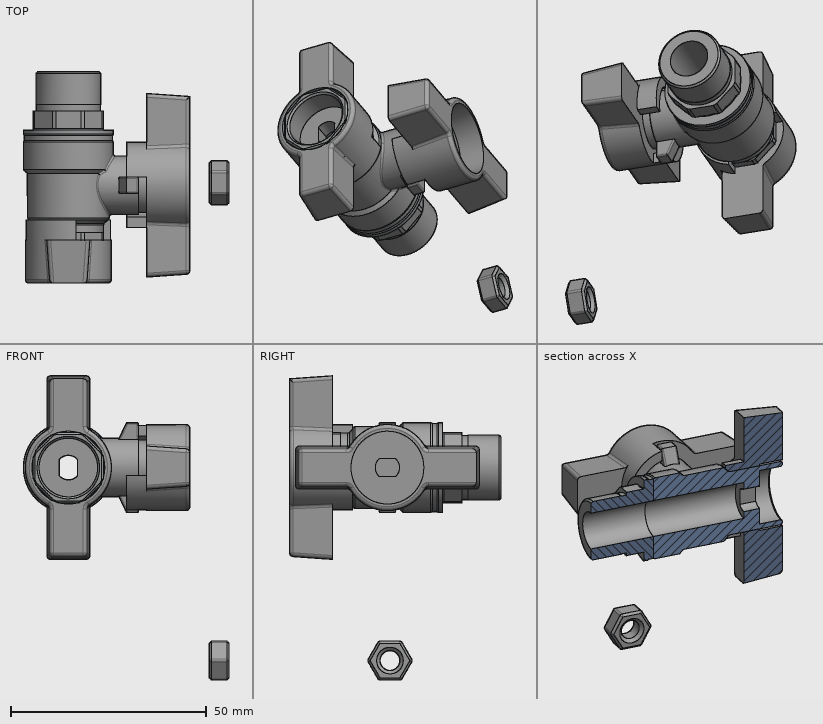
import cadquery as cq
import math


PASSAGE_DIAMETER = 10.0
COLLAR_DIAMETER = 23.0
GROOVE_DIAMETER = 22.6
BODY_DIAMETER = 21.0
NECK_DIAMETER = 18.0
BODY_END_Y = 11.45
COLLAR_Y = 4.0
COLLAR_BEVEL = 1.0
GROOVE_BEVEL = 0.45
SHOULDER_Y = -8.8
SHOULDER_DEPTH = 0.5
NECK_Y = -10.15
NECK_FLARE = 0.15
NECK_FLARE_LENGTH = 0.45
SHOULDER_STEP = 0.3
INLET_OCTAGON_Y = -12.0
INLET_END_Y = -25.0
INLET_CHAMFER = 0.5
INLET_BORE_DIAMETER = 14.95
INLET_BORE_DEPTH = 6.5
MOUTH_CHAMFER = 0.5

OCTAGON_SIDES = 8
OCTAGON_FLATS = 18.0
OCTAGON_CORNER_DIAMETER = 19.1

BOSS_DIAMETER = 15.0
BOSS_END_X = 17.9
LUG_TOP_Z = 11.5
LUG_FOOT_X = 12.8
LUG_FOOT_Z = 7.2
LUG_CREST_X = 14.85
LUG_FILLET = 0.4
BOSS_ROOT_FILLET = 0.5

TAIL_FLANGE_Y = 13.1
TAIL_FLANGE_END_Y = 14.1
TAIL_OCTAGON_Y = 14.45
TAIL_OCTAGON_END_Y = 19.0
TAIL_RELIEF_DIAMETER = 16.5
TAIL_THREAD_DIAMETER = 16.66
TAIL_THREAD_Y = 20.6
TAIL_END_Y = 29.0
TAIL_CHAMFER = 0.5

HANDLE_HEIGHT = 11.0
HUB_DIAMETER = 22.0
WING_SPAN = 46.9
WING_WIDTH = 11.0
WING_DRAFT = 4.0
HANDLE_FILLET = 1.0
RECESS_DIAMETER = 18.6
RECESS_DEPTH = INLET_BORE_DEPTH
SKIRT_HEIGHT = 5.15
SKIRT_INNER_DIAMETER = 16.6
STOP_OFFSET = 2.1
SKIRT_EDGE_OFFSET = 2.0
HANDLE_FLOOR = HANDLE_HEIGHT - RECESS_DEPTH
INLET_HANDLE_Y = INLET_END_Y + HANDLE_HEIGHT
STEM_HANDLE_X = 20.0

SHANK_DIAMETER = 6.2
SHANK_FLATS = 4.6
STEM_COLLAR_DIAMETER = 14.0

NUT_X = 35.95
NUT_Y = 0.65
NUT_Z = -49.25
NUT_THICKNESS = 5.1
NUT_SIDES = 6
NUT_FLATS = 10.0
NUT_HOLE_DIAMETER = 5.0
NUT_CHAMFER = 0.6
NUT_HOLE_CHAMFER = 0.9
NUT_CORNER_FILLET = 0.7


def plane_at_y(y):
    """Plane across the flow axis, its normal along +Y."""
    return cq.Plane(origin=(0, y, 0), xDir=(1, 0, 0), normal=(0, 1, 0))


def plane_at_x(x, y=0.0, z=0.0):
    """Plane across the stem axis, its normal along +X and its own x axis along Y."""
    return cq.Plane(origin=(x, y, z), xDir=(0, 1, 0), normal=(1, 0, 0))


def turned(profile):
    """Solid of revolution about Y from (radius, y) points, closed along the axis."""
    return cq.Workplane("XY").polyline(profile).close().revolve(360, (0, 0), (0, 1))


def cylinder(plane, diameter, length):
    return cq.Workplane(plane).circle(diameter / 2).extrude(length)


def octagon(y_start, y_end):
    """Octagonal prism along Y with its corners turned off."""
    length = y_end - y_start
    across_corners = OCTAGON_FLATS / math.cos(math.pi / OCTAGON_SIDES)
    prism = (
        cq.Workplane(plane_at_y(y_start).rotated((0, 0, 180 / OCTAGON_SIDES)))
        .polygon(OCTAGON_SIDES, across_corners)
        .extrude(length)
    )
    return prism.intersect(cylinder(plane_at_y(y_start), OCTAGON_CORNER_DIAMETER, length))


def double_d(plane, length):
    """Shank of two arcs and two flats; the flats face the plane's y direction."""
    flats = cq.Workplane(plane).rect(SHANK_DIAMETER, SHANK_FLATS).extrude(length)
    return flats.intersect(cylinder(plane, SHANK_DIAMETER, length))


def stop_lug(side):
    """Lug on the boss that limits the handle's turn; side is +1 for +Z and -1 for -Z."""
    root_z = BOSS_DIAMETER / 4
    outline = [
        (LUG_FOOT_X, root_z),
        (LUG_FOOT_X, LUG_FOOT_Z),
        (LUG_CREST_X, LUG_TOP_Z),
        (BOSS_END_X, LUG_TOP_Z),
        (BOSS_END_X, root_z),
    ]
    lug = (
        cq.Workplane("XZ")
        .polyline([(x, side * z) for x, z in outline])
        .close()
        .extrude(STOP_OFFSET, both=True)
    )
    return lug.faces("<Y or >Y or >X").edges().fillet(LUG_FILLET)


def is_boss_root(edge):
    """True for each edge where the boss meets the body or the collar."""
    center = edge.Center()
    return BODY_DIAMETER / 4 < center.x < COLLAR_DIAMETER / 2 and edge.geomType() == "BSPLINE"


def make_valve_body():
    collar_radius = COLLAR_DIAMETER / 2
    body_radius = BODY_DIAMETER / 2
    neck_radius = NECK_DIAMETER / 2
    core = turned([
        (0, BODY_END_Y),
        (GROOVE_DIAMETER / 2, BODY_END_Y),
        (collar_radius, BODY_END_Y - GROOVE_BEVEL),
        (collar_radius, COLLAR_Y),
        (body_radius, COLLAR_Y - COLLAR_BEVEL),
        (body_radius, SHOULDER_Y + SHOULDER_DEPTH),
        (body_radius - SHOULDER_STEP, SHOULDER_Y),
        (neck_radius + NECK_FLARE, NECK_Y + NECK_FLARE_LENGTH),
        (neck_radius, NECK_Y),
        (neck_radius, INLET_OCTAGON_Y),
        (0, INLET_OCTAGON_Y),
    ])
    body = core.union(cylinder(plane_at_x(0), BOSS_DIAMETER, BOSS_END_X))
    body = body.edges().filter(is_boss_root).fillet(BOSS_ROOT_FILLET)
    for side in (1, -1):
        body = body.union(stop_lug(side))
    inlet = octagon(INLET_END_Y, INLET_OCTAGON_Y).faces("<Y").chamfer(INLET_CHAMFER)
    body = body.union(inlet)

    passage_length = BODY_END_Y - INLET_HANDLE_Y
    body = body.cut(cylinder(plane_at_y(INLET_HANDLE_Y), PASSAGE_DIAMETER, passage_length))
    bore_radius = INLET_BORE_DIAMETER / 2
    body = body.cut(turned([
        (0, INLET_END_Y),
        (bore_radius + MOUTH_CHAMFER, INLET_END_Y),
        (bore_radius, INLET_END_Y + MOUTH_CHAMFER),
        (bore_radius, INLET_END_Y + INLET_BORE_DEPTH),
        (0, INLET_END_Y + INLET_BORE_DEPTH),
    ]))
    opening_plane = cq.Plane(origin=(0, INLET_END_Y, 0), xDir=(0, 0, 1), normal=(0, 1, 0))
    return body.cut(double_d(opening_plane, HANDLE_HEIGHT))


def make_tail():
    flange_radius = COLLAR_DIAMETER / 2
    groove_radius = GROOVE_DIAMETER / 2
    neck_radius = NECK_DIAMETER / 2
    relief_radius = TAIL_RELIEF_DIAMETER / 2
    thread_radius = TAIL_THREAD_DIAMETER / 2
    tail = turned([
        (0, BODY_END_Y),
        (groove_radius, BODY_END_Y),
        (groove_radius, TAIL_FLANGE_Y - GROOVE_BEVEL),
        (flange_radius, TAIL_FLANGE_Y),
        (flange_radius, TAIL_FLANGE_END_Y),
        (neck_radius, TAIL_FLANGE_END_Y),
        (neck_radius, TAIL_OCTAGON_Y),
        (relief_radius, TAIL_OCTAGON_Y),
        (relief_radius, TAIL_THREAD_Y),
        (thread_radius, TAIL_THREAD_Y),
        (thread_radius, TAIL_END_Y - TAIL_CHAMFER),
        (thread_radius - TAIL_CHAMFER, TAIL_END_Y),
        (0, TAIL_END_Y),
    ])
    tail = tail.union(octagon(TAIL_OCTAGON_Y, TAIL_OCTAGON_END_Y))
    return tail.cut(cylinder(plane_at_y(BODY_END_Y), PASSAGE_DIAMETER, TAIL_END_Y - BODY_END_Y))


def is_rounded(edge):
    """True for each handle edge above its base, except the outer edge of the first wing's tip."""
    center = edge.Center()
    on_base = center.z < HANDLE_FILLET
    on_first_tip = center.x > HUB_DIAMETER / 2 and abs(center.y) < HANDLE_FILLET
    return not on_base and not on_first_tip


def make_handle(plane):
    """Handle standing on the plane, the first wing along the plane's x axis."""
    wings = cq.Workplane("XY").rect(WING_SPAN, WING_WIDTH).extrude(HANDLE_HEIGHT, taper=WING_DRAFT)
    handle = wings.union(cylinder(cq.Plane.XY(), HUB_DIAMETER, HANDLE_HEIGHT))
    handle = handle.edges().filter(is_rounded).fillet(HANDLE_FILLET)

    recess_plane = cq.Plane(origin=(0, 0, HANDLE_FLOOR))
    handle = handle.cut(cylinder(recess_plane, RECESS_DIAMETER, RECESS_DEPTH))
    handle = handle.cut(double_d(cq.Plane.XY(), HANDLE_FLOOR))

    skirt = (
        cq.Workplane("XY")
        .circle(HUB_DIAMETER / 2)
        .circle(SKIRT_INNER_DIAMETER / 2)
        .extrude(-SKIRT_HEIGHT)
    )
    for side in (1, -1):
        sector_x = side * (STOP_OFFSET + HUB_DIAMETER / 2)
        sector_y = side * HUB_DIAMETER / 2 - SKIRT_EDGE_OFFSET
        sector = (
            cq.Workplane("XY")
            .center(sector_x, sector_y)
            .rect(HUB_DIAMETER, HUB_DIAMETER)
            .extrude(-SKIRT_HEIGHT)
        )
        handle = handle.union(skirt.intersect(sector))
    return cq.Workplane(handle.val().moved(cq.Location(plane)))


def make_stem():
    collar = cylinder(plane_at_x(BOSS_END_X), STEM_COLLAR_DIAMETER, STEM_HANDLE_X - BOSS_END_X)
    return collar.union(double_d(plane_at_x(STEM_HANDLE_X), HANDLE_FLOOR))


def make_nut():
    plane = plane_at_x(NUT_X, NUT_Y, NUT_Z)
    across_corners = NUT_FLATS / math.cos(math.pi / NUT_SIDES)
    nut = cq.Workplane(plane).polygon(NUT_SIDES, across_corners).extrude(NUT_THICKNESS)
    nut = nut.edges("|X").fillet(NUT_CORNER_FILLET)
    nut = nut.faces("<X or >X").chamfer(NUT_CHAMFER)
    nut = nut.cut(cylinder(plane, NUT_HOLE_DIAMETER, NUT_THICKNESS))
    hole_rims = cq.selectors.RadiusNthSelector(-1)
    return nut.faces("<X or >X").edges("%CIRCLE").edges(hole_rims).chamfer(NUT_HOLE_CHAMFER)


valve_body = make_valve_body()
tail = make_tail()
stem = make_stem()
stem_handle = make_handle(plane_at_x(STEM_HANDLE_X))

inlet_handle_plane = cq.Plane(origin=(0, INLET_HANDLE_Y, 0), xDir=(0, 0, 1), normal=(0, -1, 0))
inlet_handle = make_handle(inlet_handle_plane).cut(valve_body)

nut = make_nut()

result = cq.Compound.makeCompound([
    valve_body.val(),
    tail.val(),
    stem.val(),
    stem_handle.val(),
    inlet_handle.val(),
    nut.val(),
])